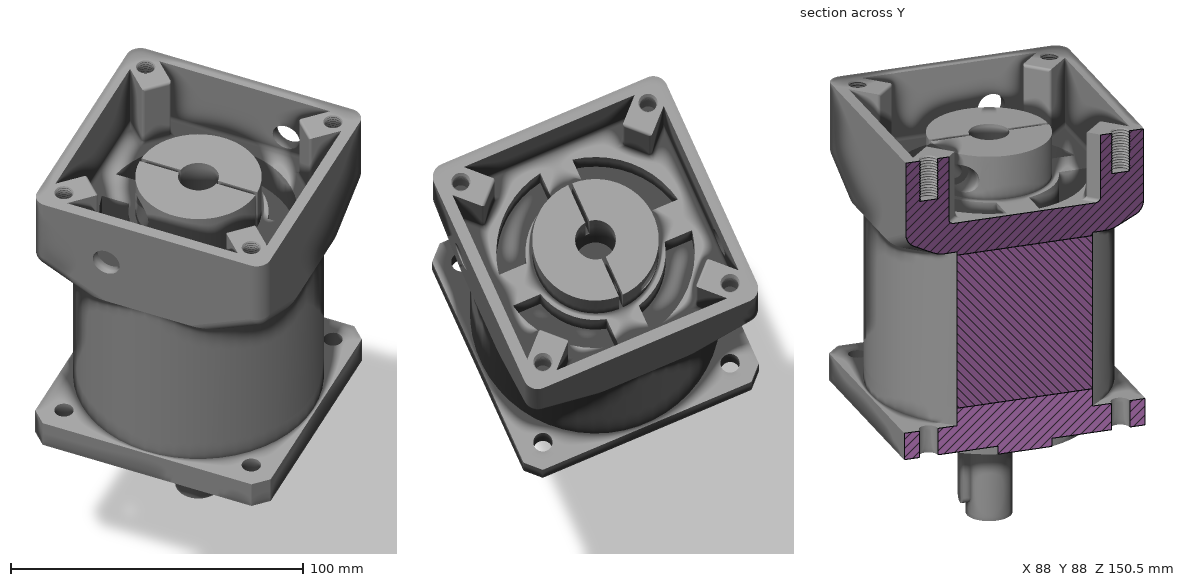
import cadquery as cq
import math

shaft_length = 36.0
collar_height = 1.0
pilot_height = 3.0
plate_thickness = 10.0
flange_neck_height = 6.5
ring_height = 57.0
spigot_height = 1.0
head_height = 36.0

collar_bottom = shaft_length
pilot_bottom = collar_bottom + collar_height
plate_bottom = pilot_bottom + pilot_height
plate_top = plate_bottom + plate_thickness
ring_bottom = plate_top + flange_neck_height
ring_top = ring_bottom + ring_height
head_bottom = ring_top + spigot_height
head_top = head_bottom + head_height

shaft_diameter = 16.0
collar_diameter = 25.0
pilot_diameter = 73.0
plate_width = 88.0
plate_corner_chamfer = 5.0
body_diameter = 86.0
bolt_spacing = 70.0
plate_hole_diameter = 6.6

key_width = 5.0
key_length = 25.0
key_bottom = 5.0
key_outer_face = 10.5

head_width = 87.0
corner_radius = 5.0
bevel_angle = 35.0
bevel_start = 47.1
wall_thickness = 4.0
cavity_depth = 25.0
cavity_floor_fillet = 1.2
boss_width = 10.7
boss_face_distance = 38.85
boss_edge_fillet = 1.0

thread_major_diameter = 6.6
thread_minor_diameter = 5.9
thread_pitch = 1.0
thread_turns = 15

slot_outer_radius = 34.0
slot_inner_radius = 24.0
rib_width = 12.0

cavity_width = head_width - 2 * wall_thickness
cavity_floor = head_top - cavity_depth
diagonal_angles = (45, 135, 225, 315)

hub_diameter = 43.3
hub_depth = 9.0
hub_bore_diameter = 14.0
slit_width = 1.5
clamp_offset = 15.5
clamp_depth = 18.0
clamp_hole_diameter = 5.0
clamp_seat_diameter = 10.0
clamp_seat_distance = 8.4
access_hole_diameter = 10.0

hub_top = head_top - hub_depth
clamp_height = head_top - clamp_depth


def plane_at(height):
    return cq.Workplane("XY", origin=(0, 0, height))


def cylinder(diameter, bottom, top):
    return plane_at(bottom).circle(diameter / 2).extrude(top - bottom)


def square_block(width, bottom, top):
    return plane_at(bottom).rect(width, width).extrude(top - bottom)


def square_corners(half_width):
    return [(x, y) for x in (-half_width, half_width) for y in (-half_width, half_width)]


def turned(shape, angle):
    return shape.rotate((0, 0, 0), (0, 0, 1), angle)


def make_key():
    return (
        cq.Workplane("YZ")
        .center(0, key_bottom + key_length / 2)
        .slot2D(key_length, key_width, 90)
        .extrude(key_outer_face)
    )


def make_output_flange():
    plate = square_block(plate_width, plate_bottom, plate_top).edges("|Z").chamfer(plate_corner_chamfer)
    bolt_centers = square_corners(bolt_spacing / 2)
    bolt_holes = plane_at(plate_bottom).pushPoints(bolt_centers).circle(plate_hole_diameter / 2)
    plate = plate.cut(bolt_holes.extrude(plate_thickness))

    neck = cylinder(body_diameter, plate_top, ring_bottom)
    pilot = cylinder(pilot_diameter, pilot_bottom, plate_bottom)
    collar = cylinder(collar_diameter, collar_bottom, pilot_bottom)
    shaft = cylinder(shaft_diameter, 0, collar_bottom)
    return plate.union(neck).union(pilot).union(collar).union(shaft).union(make_key())


def make_gear_ring():
    return cylinder(body_diameter, ring_bottom, ring_top)


def make_head_block():
    """Square block whose lower corners are bevelled, with all the outer corner edges rounded."""
    block = square_block(head_width, head_bottom, head_top)
    reach = head_width
    rise = (reach - bevel_start) * math.tan(math.radians(bevel_angle))
    wedge = (
        cq.Workplane("XZ")
        .polyline([(bevel_start, head_bottom), (reach, head_bottom), (reach, head_bottom + rise)])
        .close()
        .extrude(head_width, both=True)
    )
    for angle in diagonal_angles:
        block = block.cut(turned(wedge, angle))

    bevel_faces = block.faces("not(|Z or #Z)")
    upright_edges = block.edges("not(#Z)").vals()
    lower_edges = bevel_faces.edges("#Z").vals()
    return block.newObject(upright_edges + lower_edges).fillet(corner_radius)


def make_corner_boss():
    """Boss along +X, reaching from its inner face to the corner of the cavity."""
    outer_end = cavity_width / 2 * math.sqrt(2)
    return (
        plane_at(cavity_floor)
        .center((boss_face_distance + outer_end) / 2, 0)
        .rect(outer_end - boss_face_distance, boss_width)
        .extrude(cavity_depth)
    )


def add_cavity(head):
    """Open cavity with a boss in each corner, rounded along its floor and the boss faces."""
    head = head.cut(square_block(cavity_width, cavity_floor, head_top))
    boss = make_corner_boss()
    for angle in diagonal_angles:
        head = head.union(turned(boss, angle))

    floor = head.faces(cq.selectors.NearestToPointSelector((0, 0, cavity_floor)))
    head = floor.edges().fillet(cavity_floor_fillet)

    face_height = (cavity_floor + head_top) / 2
    for x, y in square_corners(boss_face_distance / math.sqrt(2)):
        boss_face = head.faces(cq.selectors.NearestToPointSelector((x, y, face_height)))
        head = boss_face.edges("|Z or >Z").fillet(boss_edge_fillet)
    return head


def make_threaded_hole():
    """Blind hole below the head's rim, its thread simplified to a stack of V grooves."""
    profile = [(0, head_top), (thread_major_diameter / 2, head_top)]
    for turn in range(thread_turns):
        groove_top = head_top - turn * thread_pitch
        profile.append((thread_minor_diameter / 2, groove_top - thread_pitch / 2))
        profile.append((thread_major_diameter / 2, groove_top - thread_pitch))
    profile.append((0, head_top - thread_turns * thread_pitch))
    return cq.Workplane("XZ").polyline(profile).close().revolve(360, (0, 0, 0), (0, 1, 0))


def make_floor_slots():
    """Four curved slots through the head's floor, parted by a cross of ribs."""
    floor_thickness = cavity_floor - ring_top
    slots = plane_at(ring_top).circle(slot_outer_radius).circle(slot_inner_radius).extrude(floor_thickness)
    rib = plane_at(ring_top).rect(2 * slot_outer_radius, rib_width).extrude(floor_thickness)
    return slots.cut(rib).cut(turned(rib, 90))


def make_hub():
    hub = cylinder(hub_diameter, cavity_floor, hub_top)
    slit = plane_at(cavity_floor).rect(hub_diameter, slit_width).extrude(hub_top - cavity_floor)
    return hub.cut(slit)


def make_clamp_bore(diameter, inner_y, outer_y):
    sketch = cq.Workplane("XZ", origin=(-clamp_offset, inner_y, clamp_height)).circle(diameter / 2)
    return sketch.extrude(inner_y - outer_y)


def make_clamp_cut():
    """Access hole in the -Y wall, with the screw seat and screw hole in the hub behind it."""
    access = make_clamp_bore(access_hole_diameter, -cavity_width / 2, -head_width / 2)
    seat = make_clamp_bore(clamp_seat_diameter, -clamp_seat_distance, -hub_diameter / 2)
    hole = make_clamp_bore(clamp_hole_diameter, 0, -clamp_seat_distance)
    return access.union(seat).union(hole)


def make_head():
    head = add_cavity(make_head_block())
    threaded_hole = make_threaded_hole()
    for x, y in square_corners(bolt_spacing / 2):
        head = head.cut(threaded_hole.translate((x, y, 0)))

    spigot = cylinder(body_diameter, ring_top, head_bottom)
    head = head.union(spigot).union(make_hub())
    head = head.cut(cylinder(hub_bore_diameter, ring_top, hub_top))
    head = head.cut(make_floor_slots())
    clamp_cut = make_clamp_cut()
    for angle in (0, 180):
        head = head.cut(turned(clamp_cut, angle))
    return head


output_flange = make_output_flange()
gear_ring = make_gear_ring()
input_head = make_head()

result = cq.Compound.makeCompound([output_flange.val(), gear_ring.val(), input_head.val()])